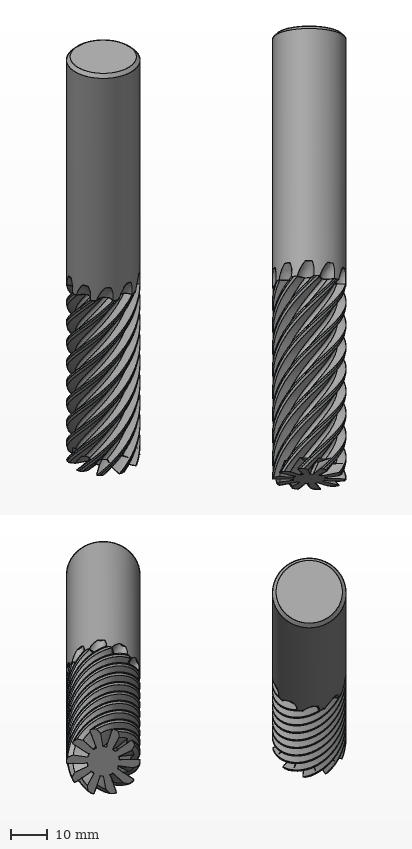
import cadquery as cq
import math

length = 126.0
diameter = 20.0
radius = diameter / 2
chamfer = 1.0
cut_length = 54.8
clearance = 0.8

teeth = 10
tooth_pitch = 360 / teeth
margin_angle = 4.0
land_angle = 10.0
relief_drop = 0.3
edge_angle = -80.0
helix_lead = 63.0
helix_rate = 360 / helix_lead
bottom_edge_angle = edge_angle - helix_rate * cut_length

core_radius = 7.4
foot_radius = 7.7
floor_start = 20.0
floor_end = 32.0
floor_middle = (floor_start + floor_end) / 2

gash_height = 3.7
gash_radius = 4.4
gash_mouth_start = 15.0
gash_mouth_end = 35.5

runout_height = 4.2
runout_drift = 5.0
runout_angle = edge_angle - (tooth_pitch - land_angle) / 2
runout_sections = [(0, 2.3, 13.0), (0.7, 1.1, 9.0), (1, 0.3, 5.0)]


def polar(r, angle):
    a = math.radians(angle)
    return (r * math.cos(a), r * math.sin(a))


def make_toothed_bar():
    profile = cq.Workplane("XY").moveTo(*polar(radius, bottom_edge_angle))
    for tooth in range(teeth):
        edge = bottom_edge_angle + tooth * tooth_pitch
        profile = (
            profile
            .threePointArc(polar(radius, edge + margin_angle / 2), polar(radius, edge + margin_angle))
            .lineTo(*polar(radius - relief_drop, edge + land_angle))
            .lineTo(*polar(foot_radius, edge + floor_start))
            .threePointArc(polar(core_radius, edge + floor_middle), polar(foot_radius, edge + floor_end))
            .lineTo(*polar(radius, edge + tooth_pitch))
        )
    return profile.close().twistExtrude(cut_length, helix_rate * cut_length)


def gash_wire(edge, height):
    """Section of the gash in the flute that follows a cutting edge, at a height above the end."""
    edge_there = edge + helix_rate * height
    corners = [
        polar(gash_radius, edge_there + floor_start),
        polar(gash_radius, edge_there + floor_end),
        polar(radius + clearance, edge_there + gash_mouth_end),
        polar(radius + clearance, edge_there + gash_mouth_start),
    ]
    return cq.Workplane("XY").workplane(offset=height).polyline(corners).close().val()


def make_gash(edge):
    """Slot that follows the helix between two straight-sided sections."""
    return cq.Solid.makeLoft([gash_wire(edge, 0), gash_wire(edge, gash_height)], True)


def make_cutter():
    gashes = [make_gash(bottom_edge_angle + tooth * tooth_pitch) for tooth in range(teeth)]
    return make_toothed_bar().cut(cq.Workplane(cq.Compound.makeCompound(gashes)))


def runout_wire(share, depth, half_width):
    """Section of the run-out groove at a share of its height."""
    middle = runout_angle + runout_drift * share
    outline = (
        cq.Workplane("XY").workplane(offset=cut_length + runout_height * share)
        .moveTo(*polar(radius + clearance, middle - half_width))
        .lineTo(*polar(radius, middle - half_width))
        .threePointArc(polar(radius - depth, middle), polar(radius, middle + half_width))
        .lineTo(*polar(radius + clearance, middle + half_width))
        .close()
    )
    return outline.val()


def make_shank():
    bar = (
        cq.Workplane("XY").workplane(offset=cut_length).circle(radius)
        .extrude(length - cut_length).faces(">Z").chamfer(chamfer)
    )
    runout = cq.Solid.makeLoft([runout_wire(*section) for section in runout_sections])
    runouts = [
        runout.rotate(cq.Vector(0, 0, 0), cq.Vector(0, 0, 1), tooth * tooth_pitch)
        for tooth in range(teeth)
    ]
    return bar.cut(cq.Workplane(cq.Compound.makeCompound(runouts)))


cutter = make_cutter()
shank = make_shank()
result = cq.Compound.makeCompound([cutter.solids().val(), shank.solids().val()])